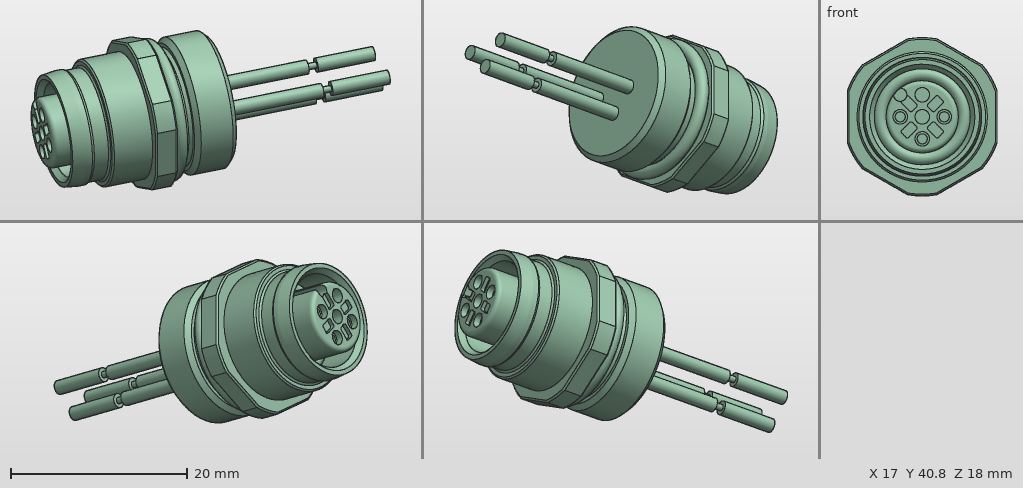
import cadquery as cq
import math


collar_front = 1.4
collar_taper_end = 3.0
collar_rear = 3.7
groove_start = 4.0
groove_end = 5.7
shell_front = 5.9
nut_front = 10.7
nut_rear = 13.35
neck_end = 15.3
rear_body_start = 15.75
rear_face = 20.8
total_length = 40.8

collar_front_radius = 13.0 / 2
collar_radius = 13.4 / 2
groove_radius = 13.0 / 2
shell_radius = 14.8 / 2
shell_chamfer = 0.2
shell_step_radius = 6.75
neck_radius = 13.5 / 2
neck_flare_radius = 6.95
rear_body_radius = 16.0 / 2
rear_body_chamfer = 0.6

nut_across_flats = 17.0
nut_corner_diameter = 18.0
nut_chamfer = 0.2

seal_squeeze = 0.05
outer_seal_section = 1.5 + seal_squeeze
outer_seal_outer_radius = 8.27

socket_mouth_radius = 11.95 / 2
socket_radius = 10.9 / 2
socket_mouth_depth = 0.7
socket_floor = 7.5
insert_radius = 8.2 / 2
insert_edge_radius = 0.5

recess_angles = (45, 135, 225, 315)
recess_length = 1.7
recess_width = 1.12
recess_corner_radius = 0.2
recess_centre_radius = 2.1
recess_depth = 0.5
keyway_diameter = 1.5
keyway_depth = 5.0

contact_pitch = 2.5
wired_positions = [(-contact_pitch, 0), (contact_pitch, 0), (0, -contact_pitch)]
plain_positions = [(0, 0), (0, contact_pitch)]
keyway_position = (-contact_pitch, contact_pitch)
contact_hole_diameter = 1.65
contact_hole_depth = 5.0
contact_recess_depth = 0.85
contact_bore_diameter = 1.15
wire_diameter = 1.65
bare_wire_diameter = 0.76
bare_wire_length = 1.1
wire_tip_length = 6.9


def revolve(points):
    """Turn a closed (radius, Y) outline about the Y axis."""
    return cq.Workplane("XY").polyline(points).close().revolve(360, (0, 0, 0), (0, 1, 0))


def across_axis(y):
    """Workplane at station y whose local x, y are X, Z; extruding by -d runs towards +Y."""
    return cq.Workplane("XZ", origin=(0, y, 0))


def rods(positions, diameter, start, length):
    return across_axis(start).pushPoints(positions).circle(diameter / 2).extrude(-length)


def polar(radius, angle):
    return radius * math.cos(math.radians(angle)), radius * math.sin(math.radians(angle))


def seal_ring(centre_radius, section, y):
    plane = cq.Plane(origin=(centre_radius, y, 0), xDir=(-1, 0, 0), normal=(0, 0, 1))
    profile = cq.Workplane(plane).circle(section / 2)
    return profile.revolve(360, (centre_radius, 0, 0), (centre_radius, 1, 0))


def make_shell():
    rear_edge_radius = rear_body_radius - rear_body_chamfer
    return revolve([
        (0, collar_front),
        (collar_front_radius, collar_front),
        (collar_radius, collar_taper_end),
        (collar_radius, collar_rear),
        (groove_radius, groove_start),
        (groove_radius, groove_end),
        (shell_step_radius, shell_front),
        (shell_radius - shell_chamfer, shell_front),
        (shell_radius, shell_front + shell_chamfer),
        (shell_radius, nut_rear),
        (neck_radius, nut_rear),
        (neck_radius, neck_end),
        (neck_flare_radius, rear_body_start),
        (rear_edge_radius, rear_body_start),
        (rear_body_radius, rear_body_start + rear_body_chamfer),
        (rear_body_radius, rear_face - rear_body_chamfer),
        (rear_edge_radius, rear_face),
        (0, rear_face),
    ])


def make_nut():
    width = nut_rear - nut_front
    hexagon_diameter = nut_across_flats / math.cos(math.radians(30))
    hexagon = across_axis(nut_front).polygon(6, hexagon_diameter).extrude(-width)
    hexagon = hexagon.rotate((0, 0, 0), (0, 1, 0), 30)
    corners = across_axis(nut_front).circle(nut_corner_diameter / 2).extrude(-width)
    return hexagon.intersect(corners).faces("<Y or >Y").chamfer(nut_chamfer)


def make_outer_seal():
    centre_radius = outer_seal_outer_radius - outer_seal_section / 2
    y = nut_rear - seal_squeeze + outer_seal_section / 2
    return seal_ring(centre_radius, outer_seal_section, y)


def make_socket():
    return revolve([
        (0, collar_front),
        (socket_mouth_radius, collar_front),
        (socket_radius, collar_front + socket_mouth_depth),
        (socket_radius, socket_floor),
        (0, socket_floor),
    ])


def make_socket_seal():
    centre_radius = (insert_radius + socket_radius) / 2
    section = socket_radius - insert_radius + 2 * seal_squeeze
    y = socket_floor + seal_squeeze - section / 2
    return seal_ring(centre_radius, section, y)


def make_recess(angle):
    recess = across_axis(0).rect(recess_length, recess_width).extrude(-recess_depth)
    recess = recess.edges("|Y").fillet(recess_corner_radius)
    x, z = polar(recess_centre_radius, angle)
    return recess.rotate((0, 0, 0), (0, 1, 0), -angle).translate((x, 0, z))


def make_insert():
    insert = across_axis(0).circle(insert_radius).extrude(-(socket_floor + seal_squeeze))
    insert = insert.faces("<Y").edges().fillet(insert_edge_radius)
    for angle in recess_angles:
        insert = insert.cut(make_recess(angle))
    insert = insert.cut(rods([keyway_position], keyway_diameter, 0, keyway_depth))
    insert = insert.cut(rods(plain_positions, contact_hole_diameter, 0, contact_hole_depth))
    insert = insert.cut(rods(wired_positions, contact_hole_diameter, 0, contact_recess_depth))
    return insert.cut(rods(wired_positions, contact_bore_diameter, 0, contact_hole_depth))


def make_wires():
    tip_start = total_length - wire_tip_length
    bare_start = tip_start - bare_wire_length
    wires = rods(wired_positions, wire_diameter, rear_face, bare_start - rear_face)
    wires = wires.union(rods(wired_positions, bare_wire_diameter, bare_start, bare_wire_length))
    return wires.union(rods(wired_positions, wire_diameter, tip_start, wire_tip_length))


body = make_shell().union(make_nut()).union(make_outer_seal())
body = body.cut(make_socket())
body = body.union(make_insert()).union(make_socket_seal())
result = body.union(make_wires())